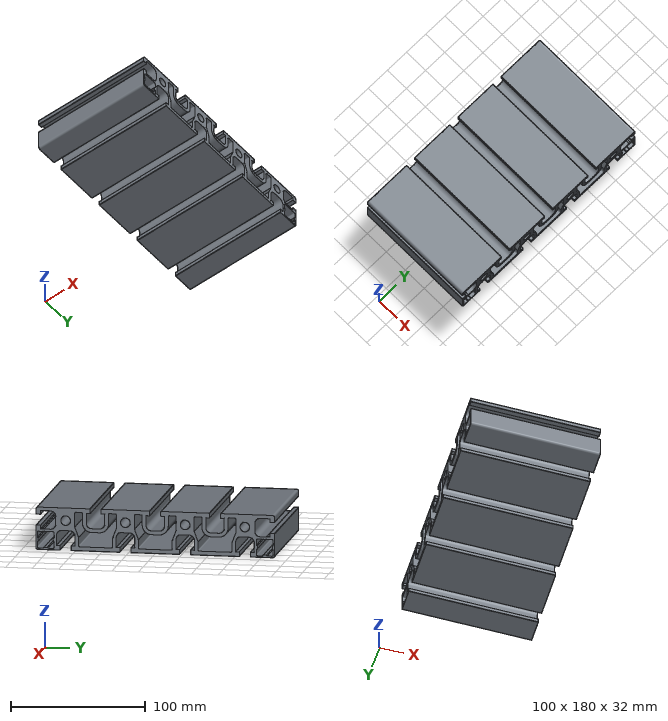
import cadquery as cq
length = 100.0
module = 45.0
module_count = 4
width = module * module_count
height = 32.0
outer_radius = 1.8

slot_opening = 8.3
slot_edge_radius = 0.27
slot_inner_width = 13.9
slot_depth = 15.0
lip_thickness = 3.6
slot_floor_radius = 4.0

bore_diameter = 7.2
bore_height = module / 2

slot_wall = 2.9
plate_thickness = 3.0
column_half_width = 6.8
foot_half_width = slot_inner_width / 2 + slot_wall
slope_top = 17.8
slope_bottom = 10.0
cavity_radius = 0.9

groove_inset = 4.9
groove_width = 1.5
groove_depth = 0.09

chamber_size = 12.6
chamber_skin = 1.17
chamber_radius = 0.9
rib_width = 3.6
rib_height = 0.63

column_positions = [(i - (module_count - 1) / 2) * module for i in range(module_count)]
cavity_positions = [y + module / 2 for y in column_positions[:-1]]


def section():
    """Sketch plane of the profile: local x is Y, local y is Z."""
    return cq.Workplane("YZ").workplane(offset=-length / 2)


def block(y_min, y_max, z_min, z_max):
    """Bar of full length with a rectangular section."""
    center = ((y_min + y_max) / 2, (z_min + z_max) / 2)
    return section().center(*center).rect(y_max - y_min, z_max - z_min).extrude(length)


def t_slot():
    """Slot cutter that opens downward at the origin and has its floor above."""
    half_opening = slot_opening / 2
    half_inner = slot_inner_width / 2
    mouth_top = slot_depth / 2
    mouth = (
        section()
        .moveTo(-half_opening - slot_edge_radius, 0)
        .radiusArc((-half_opening, slot_edge_radius), slot_edge_radius)
        .lineTo(-half_opening, mouth_top)
        .lineTo(half_opening, mouth_top)
        .lineTo(half_opening, slot_edge_radius)
        .radiusArc((half_opening + slot_edge_radius, 0), slot_edge_radius)
        .close()
        .extrude(length)
    )
    inner = block(-half_inner, half_inner, lip_thickness, slot_depth)
    inner = inner.edges("|X and >Z").fillet(slot_floor_radius)
    return inner.union(mouth)


def placed_slot(angle, y, z):
    """T-slot cutter turned about X, with its mouth at the given place."""
    return t_slot().rotate((0, 0, 0), (1, 0, 0), angle).translate((0, y, z))


def cavity():
    """Cutter between two columns that leaves a U-shaped wall around the top slot."""
    top = height - plate_thickness
    half_top = module / 2 - column_half_width
    half_foot = module / 2 - foot_half_width
    space = (
        section()
        .moveTo(-half_foot, plate_thickness)
        .lineTo(half_foot, plate_thickness)
        .lineTo(half_foot, slope_bottom)
        .lineTo(half_top, slope_top)
        .lineTo(half_top, top)
        .lineTo(-half_top, top)
        .lineTo(-half_top, slope_top)
        .lineTo(-half_foot, slope_bottom)
        .close()
        .extrude(length)
    )
    u_bottom = height - slot_depth - slot_wall
    u_wall = block(-foot_half_width, foot_half_width, u_bottom, height)
    u_wall = u_wall.edges("|X and <Z").fillet(slot_floor_radius + slot_wall)
    space = space.cut(u_wall)
    return space.edges("|X and (<Z or >Z)").fillet(cavity_radius)


def corner_chamber(side):
    """Chamber cutter at the +Y (side = 1) or -Y (side = -1) end, notched for its ribs."""
    half = chamber_size / 2
    chamber = block(-half, half, -half, half).edges("|X").fillet(chamber_radius)
    rib = (
        section()
        .moveTo(-rib_width / 2, -half)
        .lineTo(rib_width / 2, -half)
        .lineTo(rib_width / 2 - rib_height, rib_height - half)
        .lineTo(rib_height - rib_width / 2, rib_height - half)
        .close()
        .extrude(length)
    )
    for angle in (-90, 0, 90):
        chamber = chamber.cut(rib.rotate((0, 0, 0), (1, 0, 0), angle))
    inset = chamber_skin + half
    return chamber.translate((0, side * (width / 2 - inset), inset))


result = block(-width / 2, width / 2, 0, height).edges("|X").fillet(outer_radius)

for y in column_positions:
    bore = section().center(y, bore_height).circle(bore_diameter / 2).extrude(length)
    result = result.cut(bore).cut(placed_slot(0, y, 0))

for y in cavity_positions:
    result = result.cut(placed_slot(180, y, height))
    result = result.cut(cavity().translate((0, y, 0)))

for side in (-1, 1):
    result = result.cut(placed_slot(side * 90, side * width / 2, bore_height))
    result = result.cut(corner_chamber(side))
    groove_start = width / 2 - groove_inset
    groove_floor = bore_height - slot_inner_width / 2 - groove_depth
    groove = block(groove_start - groove_width, groove_start, groove_floor, bore_height)
    result = result.cut(groove if side > 0 else groove.mirror("XZ"))